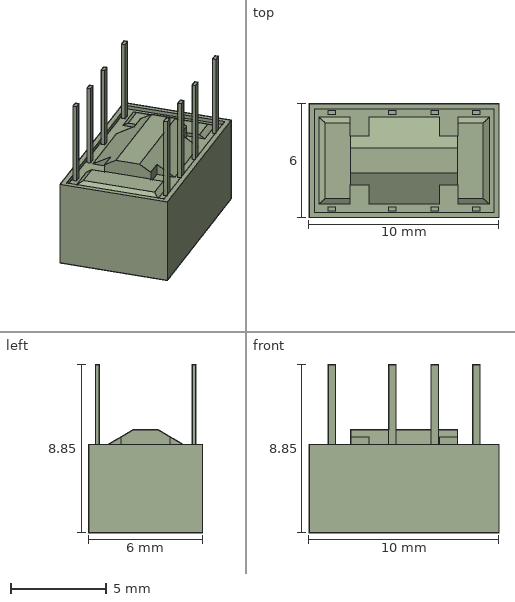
import cadquery as cq

length = 10.0
width = 6.0
body_height = 4.65
rim_width = 0.28
recess_depth = 0.19
floor_z = body_height - recess_depth

relief_length = 8.96
relief_width = 4.58
pad_bevel_x = 0.32
pad_bevel_y = 0.3
hump_length = 5.62
hump_top_width = 1.32
hump_top_z = 5.42

notch_inner_x = 1.85
notch_outer_x = 2.84
notch_inner_y = 1.29

pin_length_x = 0.4
pin_width_y = 0.2
pin_top_z = 8.85
pin_row_y = 2.54
pin_positions_x = (-3.8, -0.62, 1.61, 3.8)


def make_housing():
    """Block whose top face is recessed inside a thin rim."""
    block = cq.Workplane("XY").box(length, width, body_height, centered=(True, True, False))
    recess = (
        cq.Workplane("XY", origin=(0, 0, floor_z))
        .rect(length - 2 * rim_width, width - 2 * rim_width)
        .extrude(recess_depth)
    )
    return block.cut(recess)


def make_pads():
    """Two pads level with the rim, bevelled on their three outer sides."""
    frustum = (
        cq.Workplane("XY", origin=(0, 0, floor_z))
        .rect(relief_length, relief_width)
        .workplane(offset=recess_depth)
        .rect(relief_length - 2 * pad_bevel_x, relief_width - 2 * pad_bevel_y)
        .loft(ruled=True)
    )
    middle = (
        cq.Workplane("XY", origin=(0, 0, floor_z))
        .rect(hump_length, relief_width)
        .extrude(recess_depth)
    )
    return frustum.cut(middle)


def make_hump():
    """Trapezoidal ridge running along X, rising from the recess floor."""
    return (
        cq.Workplane("YZ", origin=(-hump_length / 2, 0, 0))
        .moveTo(-relief_width / 2, floor_z)
        .lineTo(-hump_top_width / 2, hump_top_z)
        .lineTo(hump_top_width / 2, hump_top_z)
        .lineTo(relief_width / 2, floor_z)
        .close()
        .extrude(hump_length)
    )


def make_notches():
    """Four corner cutters reaching down to the recess floor."""
    center_x = (notch_inner_x + notch_outer_x) / 2
    center_y = (notch_inner_y + relief_width / 2) / 2
    centers = [(side_x * center_x, side_y * center_y) for side_x in (-1, 1) for side_y in (-1, 1)]
    return (
        cq.Workplane("XY", origin=(0, 0, floor_z))
        .pushPoints(centers)
        .rect(notch_outer_x - notch_inner_x, relief_width / 2 - notch_inner_y)
        .extrude(hump_top_z - floor_z)
    )


def make_pins():
    """Straight rectangular pins standing on the recess floor."""
    centers = [(x, row * pin_row_y) for x in pin_positions_x for row in (-1, 1)]
    return (
        cq.Workplane("XY", origin=(0, 0, floor_z))
        .pushPoints(centers)
        .rect(pin_length_x, pin_width_y)
        .extrude(pin_top_z - floor_z)
    )


relief = make_pads().union(make_hump()).cut(make_notches())
result = make_housing().union(relief).union(make_pins())